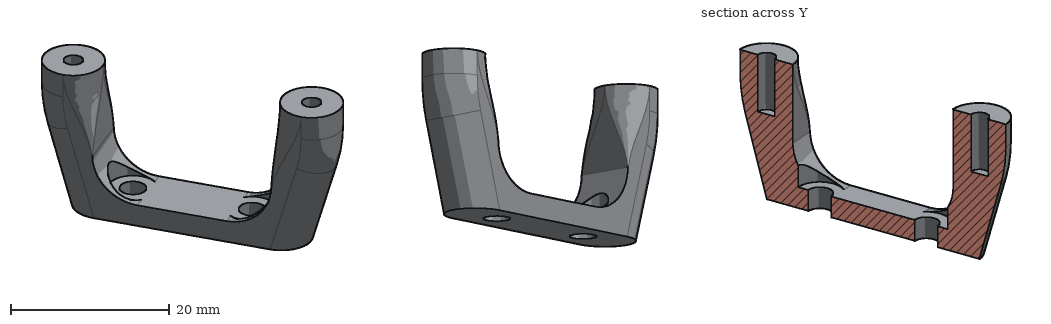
import cadquery as cq
import math

length = 40.0
width = 8.0
height = 20.0

post_radius = width / 2
post_x = length / 2 - post_radius
straight_height = 3.2
bend_radius = 16.0
lean_angle = math.radians(16)

floor_z = 3.0
corner_radius = 6.0
inner_x = post_x - post_radius

blend_bottom_z = 8.2
blend_steps = 10
sharp_radius = 0.02
round_margin = 0.02

post_hole_diameter = 2.5
post_hole_depth = 8.0
base_hole_diameter = 3.4
base_hole_x = 8.0
seat_diameter = 6.4

bend_top_z = height - straight_height
bend_end_x = post_x - bend_radius * (1 - math.cos(lean_angle))
bend_end_z = bend_top_z - bend_radius * math.sin(lean_angle)
bend_mid_x = post_x - bend_radius * (1 - math.cos(lean_angle / 2))
bend_mid_z = bend_top_z - bend_radius * math.sin(lean_angle / 2)
foot_x = bend_end_x - bend_end_z * math.tan(lean_angle)


def make_post():
    """Outer half of a round bar along the centre line, run past the base and trimmed at z = 0."""
    overrun = post_radius
    path = (
        cq.Workplane("XZ")
        .moveTo(post_x, height)
        .lineTo(post_x, bend_top_z)
        .threePointArc((bend_mid_x, bend_mid_z), (bend_end_x, bend_end_z))
        .lineTo(foot_x - overrun * math.tan(lean_angle), -overrun)
    )
    half_disc = (
        cq.Workplane("XY", origin=(post_x, 0, height))
        .moveTo(0, -post_radius)
        .threePointArc((post_radius, 0), (0, post_radius))
        .close()
    )
    bar = half_disc.sweep(path)
    block = cq.Workplane("XY").box(length, width, height, centered=(True, True, False))
    return bar.intersect(block)


def make_half_web():
    """Flat-sided half of the U between the middle plane and the post centre line."""
    corner_x = inner_x - corner_radius
    corner_z = floor_z + corner_radius
    arc_mid = (
        corner_x + corner_radius * math.sin(math.pi / 4),
        corner_z - corner_radius * math.cos(math.pi / 4),
    )
    return (
        cq.Workplane("XZ")
        .moveTo(0, 0)
        .lineTo(foot_x, 0)
        .lineTo(bend_end_x, bend_end_z)
        .threePointArc((bend_mid_x, bend_mid_z), (post_x, bend_top_z))
        .lineTo(post_x, height)
        .lineTo(inner_x, height)
        .lineTo(inner_x, corner_z)
        .threePointArc(arc_mid, (corner_x, floor_z))
        .lineTo(0, floor_z)
        .close()
        .extrude(width / 2, both=True)
    )


def blend_section(fraction):
    """Slice whose inner corner radius grows smoothly from sharp to round."""
    smooth = fraction**2 * (3 - 2 * fraction)
    full_radius = post_radius - round_margin
    radius = sharp_radius + (full_radius - sharp_radius) * smooth
    z = blend_bottom_z + (height - blend_bottom_z) * fraction
    half = width / 2
    outer_x = length / 2
    diagonal = radius * (1 - math.cos(math.pi / 4))
    sketch = (
        cq.Workplane("XY", origin=(0, 0, z))
        .moveTo(outer_x, -half)
        .lineTo(outer_x, half)
        .lineTo(inner_x + radius, half)
        .threePointArc((inner_x + diagonal, half - diagonal), (inner_x, half - radius))
        .lineTo(inner_x, radius - half)
        .threePointArc((inner_x + diagonal, diagonal - half), (inner_x + radius, -half))
        .close()
    )
    return sketch.val()


def round_inner_edges(web):
    """Cut away the two inner corners that lie outside the blended envelope."""
    sections = [blend_section(step / blend_steps) for step in range(blend_steps + 1)]
    envelope = cq.Workplane(cq.Solid.makeLoft(sections))
    upright = (
        cq.Workplane("XY", origin=(inner_x, 0, blend_bottom_z))
        .box(length / 2 - inner_x, width, height - blend_bottom_z, centered=(False, True, False))
    )
    return web.cut(upright.cut(envelope))


def vertical_cylinder(diameter, x, bottom, top):
    return cq.Workplane("XY", origin=(x, 0, bottom)).circle(diameter / 2).extrude(top - bottom)


half_body = round_inner_edges(make_half_web()).union(make_post())
post_hole_bottom = height - post_hole_depth
half_body = half_body.cut(vertical_cylinder(post_hole_diameter, post_x, post_hole_bottom, height))
half_body = half_body.cut(vertical_cylinder(base_hole_diameter, base_hole_x, 0, height))
half_body = half_body.cut(vertical_cylinder(seat_diameter, base_hole_x, floor_z, height))

result = half_body.union(half_body.mirror("YZ"))